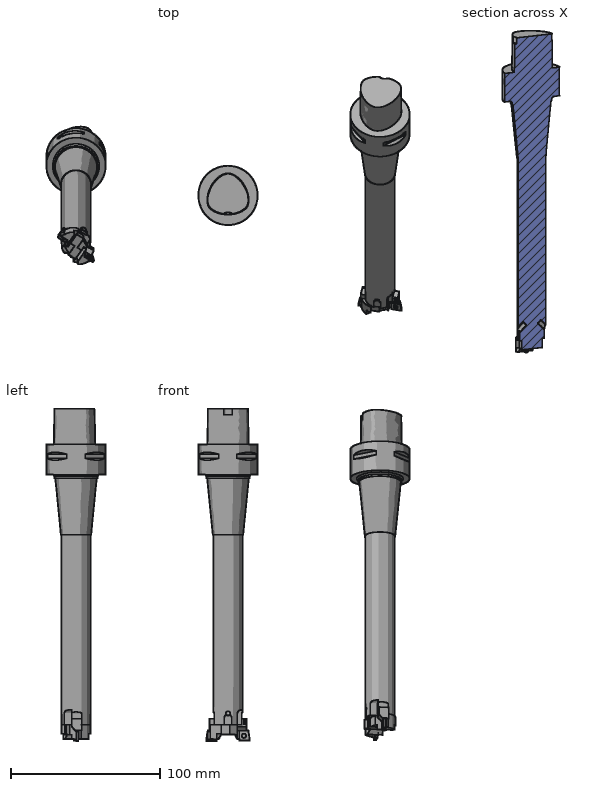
import cadquery as cq
import math

TOTAL_LENGTH = 223.0
FLANGE_TOP = 199.1
FLANGE_BOTTOM = 178.8
COLLAR_BOTTOM = 176.5
CONE_BOTTOM = 138.5
HEAD_TOP = 11.0
WEB_BOTTOM = 4.5
HEAD_BOTTOM = 1.3

FLANGE_RADIUS = 40.0 / 2
COLLAR_RADIUS = 14.5
COLLAR_FLARE = 1.1
CONE_TOP_RADIUS = 14.0
CONE_END_RADIUS = 10.3
BAR_RADIUS = 20.0 / 2

SHANK_BASE_RADIUS = 13.94
SHANK_TOP_RADIUS = 13.5
LOBE_HEIGHT = 1.0
OUTLINE_POINTS = 36
KEYWAY_WIDTH = 6.2
KEYWAY_DEPTH = 1.3
KEYWAY_HEIGHT = 4.2

NOTCH_COUNT = 4
NOTCH_Z = 191.0
NOTCH_DEPTH = 2.2
NOTCH_FLOOR_HEIGHT = 2.7
NOTCH_MOUTH_HEIGHT = 5.4

SLIDE_BACK = -3.8
SLIDE_FRONT = 3.0
SLIDE_SEAT = 9.1
SLIDE_REACH = 12.5
SLIDE_TOP = 15.2
SLIDE_BOTTOM = 7.4
SLIDE_GROOVE_X = 10.5
SLIDE_GROOVE_SIZE = 1.0
SLIDE_GROOVE_BOTTOM = 11.4
SEAT_TOP = 19.8
SEAT_END_RADIUS = 1.8
CHIP_FLOOR = 6.2
CHIP_TOP = 21.0
CHIP_END_RADIUS = 2.7

HEAD_OFFSET = SLIDE_REACH - BAR_RADIUS
FOOT_TOP = 5.0
FOOT_FLAT_OUTER = (-7.5, -8.7)
FOOT_FLAT_INNER = (-4.5, -5.8)
CHIP_FLANK_NEAR = 6.7
CHIP_FLANK_FAR = 4.2
NOSE_REACH = 13.5
NOSE_INNER = 11.2
NOSE_EDGE = -1.8
WEB_EDGE_BACK = 4.5
WEB_EDGE_FRONT = 1.1
WEB_FLAT = 7.5

INSERT_INNER = 7.5
INSERT_TIP = 14.7
INSERT_TOP_REACH = 13.8
INSERT_HEIGHT = 6.5
INSERT_THICKNESS = 1.5
INSERT_HOLE_DIAMETER = 3.0
INSERT_HOLE_X = 10.7
INSERT_HOLE_RISE = 3.1
INSERT_STAGGER = 0.5
GULLET_TOP = 9.8

OUTLET_WIDTH = 5.0
OUTLET_TOP = 18.0
OUTLET_FLOOR = 9.0
COOLANT_DIAMETER = 3.0
COOLANT_LENGTH = 6.7
COOLANT_TILT = 45.0

CLEAR = 22.3
STATIONS = (0, 180)


def block(x_range, y_range, z_range):
    """Box given by its lower and upper limits along each axis."""
    size = [high - low for low, high in (x_range, y_range, z_range)]
    corner = (x_range[0], y_range[0], z_range[0])
    return cq.Workplane("XY").box(*size, centered=False).translate(corner)


def turned(shape, angle):
    """Copy of a shape rotated about the tool axis."""
    return shape.rotate((0, 0, 0), (0, 0, 1), angle)


def side_prism(points, y_range):
    """Prism with an XZ outline that spans a range along Y."""
    near, far = y_range
    return cq.Workplane("XZ").polyline(points).close().extrude(near - far).translate((0, near, 0))


def shank_outline(mean_radius):
    """Constant-width curve with three lobes, one of them toward +Y."""
    points = []
    for i in range(OUTLINE_POINTS):
        angle = 2 * math.pi * i / OUTLINE_POINTS
        reach = mean_radius + LOBE_HEIGHT * math.cos(3 * angle)
        swing = -3 * LOBE_HEIGHT * math.sin(3 * angle)
        along = reach * math.cos(angle) - swing * math.sin(angle)
        across = reach * math.sin(angle) + swing * math.cos(angle)
        points.append((-across, along))
    return points


def make_shank():
    shank = (
        cq.Workplane("XY", origin=(0, 0, FLANGE_TOP))
        .spline(shank_outline(SHANK_BASE_RADIUS), periodic=True).close()
        .workplane(offset=TOTAL_LENGTH - FLANGE_TOP)
        .spline(shank_outline(SHANK_TOP_RADIUS), periodic=True).close()
        .loft(ruled=True)
    )
    flat_y = -(SHANK_TOP_RADIUS - LOBE_HEIGHT)
    keyway_radius = ((KEYWAY_WIDTH / 2) ** 2 + KEYWAY_DEPTH**2) / (2 * KEYWAY_DEPTH)
    keyway = (
        cq.Workplane("XY", origin=(0, flat_y + KEYWAY_DEPTH - keyway_radius, TOTAL_LENGTH - KEYWAY_HEIGHT))
        .circle(keyway_radius)
        .extrude(KEYWAY_HEIGHT)
    )
    return shank.cut(keyway)


def make_turned_profile():
    profile = [
        (0, FLANGE_TOP),
        (FLANGE_RADIUS, FLANGE_TOP),
        (FLANGE_RADIUS, FLANGE_BOTTOM),
        (COLLAR_RADIUS + COLLAR_FLARE, FLANGE_BOTTOM),
        (COLLAR_RADIUS, FLANGE_BOTTOM - COLLAR_FLARE),
        (COLLAR_RADIUS, COLLAR_BOTTOM),
        (CONE_TOP_RADIUS, COLLAR_BOTTOM),
        (CONE_END_RADIUS, CONE_BOTTOM),
        (BAR_RADIUS, CONE_BOTTOM),
        (BAR_RADIUS, HEAD_TOP),
        (0, HEAD_TOP),
    ]
    return cq.Workplane("XZ").polyline(profile).close().revolve(360, (0, 0, 0), (0, 1, 0))


def make_notch():
    """Trapezoidal notch across the +X side of the flange."""
    floor = FLANGE_RADIUS - NOTCH_DEPTH
    half_floor = NOTCH_FLOOR_HEIGHT / 2
    half_mouth = NOTCH_MOUTH_HEIGHT / 2
    outline = [
        (floor, NOTCH_Z - half_floor),
        (FLANGE_RADIUS, NOTCH_Z - half_mouth),
        (FLANGE_RADIUS, NOTCH_Z + half_mouth),
        (floor, NOTCH_Z + half_floor),
    ]
    return side_prism(outline, (-FLANGE_RADIUS, FLANGE_RADIUS))


def make_side_pocket(floor, top, end_radius, y_range):
    """Cutter for a -X side pocket whose floor curves outward at its upper end."""
    near, far = y_range
    bend = end_radius * math.sqrt(0.5)
    bend_x = -floor - end_radius
    bend_z = top - end_radius
    return (
        cq.Workplane("XZ", origin=(0, near, 0))
        .moveTo(-floor, 0)
        .lineTo(-floor, bend_z)
        .threePointArc((bend_x + bend, bend_z + bend), (bend_x, top))
        .lineTo(-CLEAR, top)
        .lineTo(-CLEAR, 0)
        .close()
        .extrude(near - far)
    )


def make_outlet():
    """Round-topped coolant outlet on the -Y side, fed by a tilted hole."""
    radius = OUTLET_WIDTH / 2
    slot = (
        cq.Workplane("XZ", origin=(0, -OUTLET_FLOOR, 0))
        .moveTo(-radius, HEAD_TOP)
        .lineTo(-radius, OUTLET_TOP - radius)
        .threePointArc((0, OUTLET_TOP), (radius, OUTLET_TOP - radius))
        .lineTo(radius, HEAD_TOP)
        .close()
        .extrude(CLEAR)
    )
    hole = (
        cq.Workplane("XY")
        .circle(COOLANT_DIAMETER / 2)
        .extrude(2 * COOLANT_LENGTH)
        .translate((0, 0, -COOLANT_LENGTH))
        .rotate((0, 0, 0), (1, 0, 0), -COOLANT_TILT)
        .translate((0, -BAR_RADIUS, OUTLET_TOP))
    )
    return slot.union(hole)


def make_web():
    """Stepped web below the bar that separates the two cartridges."""
    web_z = (WEB_BOTTOM, HEAD_TOP)
    half = block((-WEB_EDGE_BACK, WEB_EDGE_FRONT), (-WEB_FLAT, 0), web_z)
    return half.union(turned(half, 180))


def make_bar(web):
    bar = make_turned_profile().union(make_shank()).union(web)
    for i in range(NOTCH_COUNT):
        bar = bar.cut(turned(make_notch(), (i + 0.5) * 360 / NOTCH_COUNT))
    slide_seat = make_side_pocket(SLIDE_SEAT, SEAT_TOP, SEAT_END_RADIUS, (SLIDE_BACK, SLIDE_FRONT))
    chip_pocket = make_side_pocket(CHIP_FLOOR, CHIP_TOP, CHIP_END_RADIUS, (SLIDE_FRONT, CLEAR))
    for angle in STATIONS:
        for cutter in (slide_seat, chip_pocket, make_outlet()):
            bar = bar.cut(turned(cutter, angle))
    return bar


def insert_plate(bottom):
    top = bottom + INSERT_HEIGHT
    outline = [
        (-INSERT_INNER, bottom),
        (-INSERT_TIP, bottom),
        (-INSERT_TOP_REACH, top),
        (-INSERT_INNER, top),
    ]
    return side_prism(outline, (-INSERT_THICKNESS, 0))


def make_insert(bottom):
    hole = (
        cq.Workplane("XZ", origin=(-INSERT_HOLE_X, 0, bottom + INSERT_HOLE_RISE))
        .circle(INSERT_HOLE_DIAMETER / 2)
        .extrude(INSERT_THICKNESS)
    )
    return insert_plate(bottom).cut(hole)


def make_head():
    """Round head with a slanted flat at its foot, cut away toward the web and the chip side."""
    head = (
        cq.Workplane("XY", origin=(-HEAD_OFFSET, 0, HEAD_BOTTOM))
        .circle(BAR_RADIUS)
        .extrude(HEAD_TOP - HEAD_BOTTOM)
    )
    back_half = block((-CLEAR, -WEB_EDGE_BACK), (-CLEAR, 0), (0, HEAD_TOP))
    chip_outline = [
        (-CLEAR, 0),
        (-WEB_EDGE_FRONT, 0),
        (-WEB_EDGE_FRONT, CHIP_FLANK_NEAR),
        (-CHIP_FLOOR, CHIP_FLANK_FAR),
        (-CLEAR, CHIP_FLANK_FAR),
    ]
    chip_half = cq.Workplane("XY").polyline(chip_outline).close().extrude(HEAD_TOP)
    head = head.intersect(back_half.union(chip_half))
    foot_outline = [
        FOOT_FLAT_OUTER,
        FOOT_FLAT_INNER,
        (FOOT_FLAT_INNER[0], -CLEAR),
        (FOOT_FLAT_OUTER[0], -CLEAR),
    ]
    foot_flat = cq.Workplane("XY").polyline(foot_outline).close().extrude(FOOT_TOP)
    chip_relief = block((-CHIP_FLOOR, 0), (SLIDE_FRONT, CLEAR), (0, WEB_BOTTOM))
    web_relief = side_prism(
        [
            (-CHIP_FLOOR, HEAD_BOTTOM),
            (-WEB_EDGE_BACK, WEB_BOTTOM),
            (0, WEB_BOTTOM),
            (0, HEAD_BOTTOM),
        ],
        (-CLEAR, CLEAR),
    )
    return head.cut(foot_flat).cut(chip_relief).cut(web_relief)


def make_nose():
    """Wedge on the outside of the head that backs the insert."""
    outline = [
        (-NOSE_INNER, 0),
        (-NOSE_REACH, 0),
        (-NOSE_REACH, NOSE_EDGE),
        (-NOSE_INNER, NOSE_EDGE - NOSE_REACH + NOSE_INNER),
    ]
    return (
        cq.Workplane("XY", origin=(0, 0, HEAD_BOTTOM))
        .polyline(outline).close()
        .extrude(SLIDE_BOTTOM - HEAD_BOTTOM)
    )


def make_slide():
    """Upright slide with a narrow groove down its chip face."""
    slide = block((-SLIDE_REACH, -SLIDE_SEAT), (SLIDE_BACK, SLIDE_FRONT), (SLIDE_BOTTOM, SLIDE_TOP))
    groove = block(
        (-SLIDE_GROOVE_X - SLIDE_GROOVE_SIZE, -SLIDE_GROOVE_X),
        (SLIDE_FRONT - SLIDE_GROOVE_SIZE, SLIDE_FRONT),
        (SLIDE_GROOVE_BOTTOM, SLIDE_TOP),
    )
    return slide.cut(groove)


def make_gullet(insert_top):
    """Chip space before the insert, with a roof that slopes out to the slide face."""
    outline = [
        (0, 0),
        (0, insert_top),
        (SLIDE_FRONT, GULLET_TOP),
        (SLIDE_FRONT, HEAD_TOP),
        (CLEAR, HEAD_TOP),
        (CLEAR, 0),
    ]
    return (
        cq.Workplane("YZ", origin=(-CLEAR, 0, 0)).polyline(outline).close().extrude(CLEAR - CHIP_FLOOR)
    )


def make_cartridge(web, insert_bottom):
    cartridge = make_head().union(make_nose()).union(make_slide())
    cartridge = cartridge.cut(make_gullet(insert_bottom + INSERT_HEIGHT))
    return cartridge.cut(web).cut(insert_plate(insert_bottom))


web = make_web()
bar = make_bar(web)
cartridges = []
inserts = []
for i, angle in enumerate(STATIONS):
    insert_bottom = i * INSERT_STAGGER
    cartridges.append(turned(make_cartridge(web, insert_bottom), angle).val())
    inserts.append(turned(make_insert(insert_bottom), angle).val())

result = cq.Compound.makeCompound([bar.val(), *cartridges, *inserts])